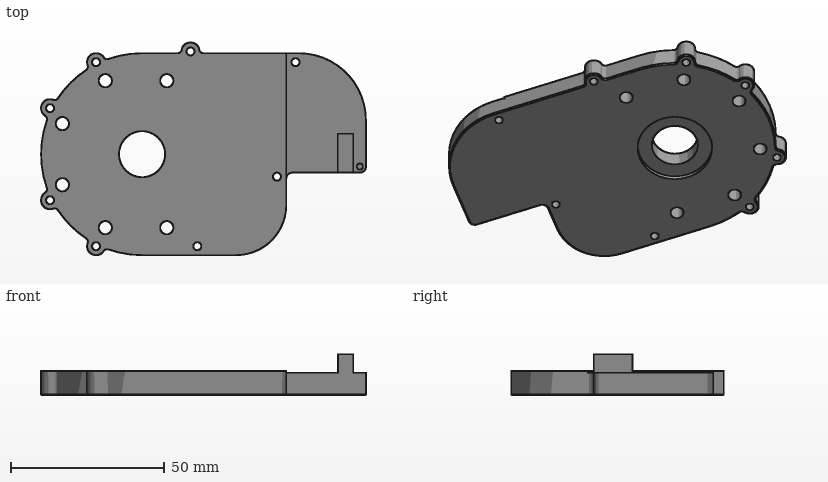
import cadquery as cq


plate_radius = 33.0
plate_right = 47.1
plate_corner_radius = 16.5
plate_height = 8.1

wing_right = 73.1
wing_front = -6.0
wing_height = 7.4
wing_back_radius = 22.0
wing_front_radius = 2.0
inner_corner_radius = 1.9

block_left = 63.9
block_width = 5.1
block_depth = 12.7
block_top = 13.5

lug_radius = 3.0
lug_blend_radius = 1.3
lug_far = 30.0
lug_near = lug_far / 2
rim_lugs = [
    (-lug_near, lug_far),
    (-lug_far, lug_near),
    (-lug_far, -lug_near),
    (-lug_near, -lug_far),
]
back_lug = (15.8, 33.5)
lugs = rim_lugs + [back_lug]

bottom_chamfer = 0.4

bore_diameter = 15.0
recess_diameter = 24.3
recess_depth = 1.7
screw_diameter = 2.5
inner_screws = [(50.1, lug_far), (44.0, -7.3), (18.0, -lug_far)]
mount_diameter = 4.2
mount_row = 24.0
mounts = [
    (x, side * y)
    for x, y in [(8.1, mount_row), (-12.0, mount_row), (-26.0, 10.0)]
    for side in (1, -1)
]
pin_diameter = 2.0
pin_depth = 3.2
pin_center = (wing_right - wing_front_radius, wing_front + wing_front_radius)


def make_plate():
    """Full-height plate with a half-round left end."""
    return (
        cq.Workplane("XY")
        .moveTo(0, plate_radius)
        .threePointArc((-plate_radius, 0), (0, -plate_radius))
        .lineTo(plate_right - plate_corner_radius, -plate_radius)
        .radiusArc((plate_right, plate_corner_radius - plate_radius), -plate_corner_radius)
        .lineTo(plate_right, plate_radius)
        .close()
        .extrude(plate_height)
    )


def make_wing():
    """Lower wing with a large back corner and a small front corner."""
    return (
        cq.Workplane("XY")
        .moveTo(plate_right, plate_radius)
        .lineTo(wing_right - wing_back_radius, plate_radius)
        .radiusArc((wing_right, plate_radius - wing_back_radius), wing_back_radius)
        .lineTo(wing_right, wing_front + wing_front_radius)
        .radiusArc((wing_right - wing_front_radius, wing_front), wing_front_radius)
        .lineTo(plate_right, wing_front)
        .close()
        .extrude(wing_height)
    )


def make_inner_corner():
    """Concave fillet where the wing's front edge meets the plate."""
    radius = inner_corner_radius
    return (
        cq.Workplane("XY")
        .moveTo(plate_right, wing_front)
        .lineTo(plate_right + radius, wing_front)
        .radiusArc((plate_right, wing_front - radius), -radius)
        .close()
        .extrude(wing_height)
    )


def add_lug(body, center):
    """Join a round lug to the rim and blend the two corners it makes."""
    x, y = center
    lug = cq.Workplane("XY").center(x, y).circle(lug_radius).extrude(plate_height)
    reach = lug_radius + lug_blend_radius
    around_lug = cq.selectors.BoxSelector(
        (x - reach, y - reach, 0), (x + reach, y + reach, plate_height)
    )
    joined = body.union(lug)
    return joined.edges("|Z").edges(around_lug).fillet(lug_blend_radius)


def through_holes(centers, diameter):
    """Cylinders that cut holes through the whole plate height."""
    return cq.Workplane("XY").pushPoints(centers).circle(diameter / 2).extrude(plate_height)


body = make_plate()
for lug_center in lugs:
    body = add_lug(body, lug_center)
body = body.union(make_wing()).union(make_inner_corner())
body = body.faces("<Z").edges().chamfer(bottom_chamfer)

block = (
    cq.Workplane("XY", origin=(block_left, wing_front, wing_height))
    .rect(block_width, block_depth, centered=False)
    .extrude(block_top - wing_height)
)
body = body.union(block)

body = body.cut(through_holes([(0, 0)], bore_diameter))
recess = cq.Workplane("XY").circle(recess_diameter / 2).extrude(recess_depth)
body = body.cut(recess)
body = body.cut(through_holes(lugs + inner_screws, screw_diameter))
body = body.cut(through_holes(mounts, mount_diameter))

pin_hole = (
    cq.Workplane("XY", origin=(*pin_center, wing_height))
    .circle(pin_diameter / 2)
    .extrude(-pin_depth)
)
result = body.cut(pin_hole)